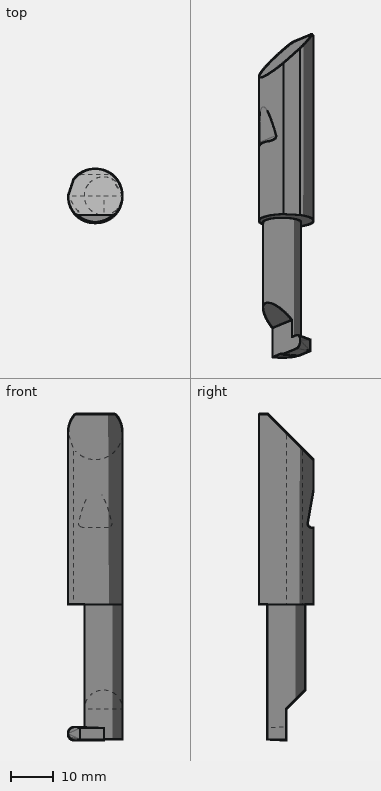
import cadquery as cq
import math

overall_length = 76.15
shank_diameter = 12.7
shank_radius = shank_diameter / 2
shank_bottom = 31.7
flat_top_y = 3.8
bevel_start_y = -4.4
rim_chamfer = 0.3

notch_bottom = 49.6
notch_top = 58.2
notch_angle = 10.0
notch_corner_radius = 0.9

neck_diameter = 8.9
neck_radius = neck_diameter / 2
neck_center_x = shank_radius - neck_radius
neck_bottom = 0.3
relief_top = 7.3

tip_height = 3.2
heel_inset = 0.2
tip_nose_x = -shank_radius
heel_nose_x = -3.5
tip_back_x = 2.05
tip_depth = neck_radius
heel_corner_radius = 0.015
nose_land = 0.015
margin = 7.6


def side_prism(points):
    """Extrude a (Y, Z) outline across the whole part along X."""
    return cq.Workplane("YZ").polyline(points).close().extrude(2 * shank_radius, both=True)


def make_shank():
    height = overall_length - shank_bottom
    body = cq.Workplane("XY").workplane(offset=shank_bottom).circle(shank_radius).extrude(height)
    body = body.faces(">Z").edges().chamfer(rim_chamfer)

    flat_top_x = -math.sqrt(shank_radius**2 - flat_top_y**2)
    outside_flat = (
        cq.Workplane("XY")
        .workplane(offset=shank_bottom)
        .moveTo(-shank_radius, 0)
        .lineTo(flat_top_x, flat_top_y)
        .lineTo(-shank_radius - margin, flat_top_y)
        .lineTo(-shank_radius - margin, 0)
        .close()
        .extrude(height)
    )
    bevel_run = shank_radius + margin - bevel_start_y
    bevel = side_prism([
        (bevel_start_y, overall_length),
        (bevel_start_y + bevel_run, overall_length),
        (bevel_start_y + bevel_run, overall_length - bevel_run),
    ])
    return body.cut(outside_flat).cut(bevel).cut(make_notch())


def make_notch():
    depth = (notch_top - notch_bottom) * math.tan(math.radians(notch_angle))
    floor_y = shank_radius - depth
    outer_y = shank_radius + margin
    notch = side_prism([
        (floor_y, notch_bottom),
        (shank_radius, notch_top),
        (outer_y, notch_top),
        (outer_y, notch_bottom),
    ])
    return notch.edges("|X").edges("<Y").fillet(notch_corner_radius)


def make_neck():
    neck = (
        cq.Workplane("XY")
        .workplane(offset=neck_bottom)
        .center(neck_center_x, 0)
        .circle(neck_radius)
        .extrude(shank_bottom - neck_bottom)
    )
    relief = side_prism([
        (0, -margin),
        (0, relief_top),
        (margin, relief_top + margin),
        (margin, -margin),
    ])
    return neck.cut(relief)


def tip_section(y, nose_x, bottom, top, radius):
    """Wire in a plane of constant Y, with both nose corners rounded."""
    diagonal = radius * (1 - math.sqrt(0.5))
    arc_end_x = nose_x + radius
    section = (
        cq.Workplane("XZ", origin=(0, y, 0))
        .moveTo(tip_back_x, bottom)
        .lineTo(arc_end_x, bottom)
        .threePointArc((nose_x + diagonal, bottom + diagonal), (nose_x, bottom + radius))
        .lineTo(nose_x, top - radius)
        .threePointArc((nose_x + diagonal, top - diagonal), (arc_end_x, top))
        .lineTo(tip_back_x, top)
        .close()
    )
    return section.val()


def make_tip():
    nose_radius = (tip_height - nose_land) / 2
    rake = tip_section(0, tip_nose_x, 0, tip_height, nose_radius)
    heel = tip_section(
        -tip_depth, heel_nose_x, heel_inset, tip_height - heel_inset, heel_corner_radius
    )
    return cq.Workplane(cq.Solid.makeLoft([rake, heel], True))


result = make_shank().union(make_neck()).union(make_tip())